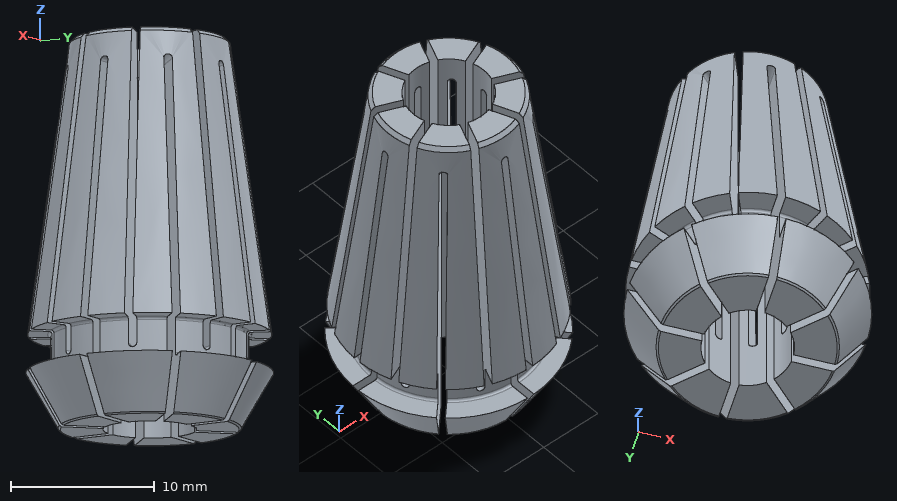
import cadquery as cq
import math

TOTAL_HEIGHT = 27.5
BORE_DIAMETER = 6.5

FLANGE_HEIGHT = 4.0
FLANGE_RADIUS = 8.625
FLANGE_HALF_ANGLE = 30.0
BOTTOM_CHAMFER = 0.1

NECK_RADIUS = 6.9
NECK_TOP = 6.7
NECK_FILLET = 0.2

CONE_BASE_RADIUS = 8.5
CONE_HALF_ANGLE = 8.0
TOP_CHAMFER = 0.3

SLOT_WIDTH = 0.6
SLOTS_PER_SET = 8
LOWER_SLOT_END = 25.5
UPPER_SLOT_END = 4.6
SLOT_CLEARANCE = 1.0


def make_body():
    """Revolve the outer profile around the bore."""
    bore_radius = BORE_DIAMETER / 2
    flange_bottom_radius = FLANGE_RADIUS - FLANGE_HEIGHT * math.tan(math.radians(FLANGE_HALF_ANGLE))
    chamfer_top_radius = flange_bottom_radius + BOTTOM_CHAMFER * math.tan(math.radians(FLANGE_HALF_ANGLE))
    chamfer_base = TOTAL_HEIGHT - TOP_CHAMFER
    chamfer_radius = CONE_BASE_RADIUS - (chamfer_base - NECK_TOP) * math.tan(math.radians(CONE_HALF_ANGLE))
    fillet_sag = NECK_FILLET * (1 - math.sqrt(0.5))
    return (
        cq.Workplane("XZ")
        .moveTo(bore_radius, 0)
        .lineTo(flange_bottom_radius - BOTTOM_CHAMFER, 0)
        .lineTo(chamfer_top_radius, BOTTOM_CHAMFER)
        .lineTo(FLANGE_RADIUS, FLANGE_HEIGHT)
        .lineTo(NECK_RADIUS + NECK_FILLET, FLANGE_HEIGHT)
        .threePointArc(
            (NECK_RADIUS + fillet_sag, FLANGE_HEIGHT + fillet_sag),
            (NECK_RADIUS, FLANGE_HEIGHT + NECK_FILLET),
        )
        .lineTo(NECK_RADIUS, NECK_TOP - NECK_FILLET)
        .threePointArc(
            (NECK_RADIUS + fillet_sag, NECK_TOP - fillet_sag),
            (NECK_RADIUS + NECK_FILLET, NECK_TOP),
        )
        .lineTo(CONE_BASE_RADIUS, NECK_TOP)
        .lineTo(chamfer_radius, chamfer_base)
        .lineTo(chamfer_radius - TOP_CHAMFER, TOTAL_HEIGHT)
        .lineTo(bore_radius, TOTAL_HEIGHT)
        .close()
        .revolve(360, (0, 0, 0), (0, 1, 0))
    )


def make_slot_cutter(open_end, round_end):
    """Radial blade along +X, square at open_end and round at round_end (both heights)."""
    half_width = SLOT_WIDTH / 2
    direction = math.copysign(1, round_end - open_end)
    straight_end = round_end - direction * half_width
    return (
        cq.Workplane("YZ")
        .moveTo(-half_width, open_end)
        .lineTo(-half_width, straight_end)
        .threePointArc((0, round_end), (half_width, straight_end))
        .lineTo(half_width, open_end)
        .close()
        .extrude(FLANGE_RADIUS + SLOT_CLEARANCE)
    )


def cut_slots(body, cutter, first_angle):
    """Cut one evenly spaced set of slots, starting at first_angle degrees."""
    pitch = 360 / SLOTS_PER_SET
    for index in range(SLOTS_PER_SET):
        angle = first_angle + index * pitch
        body = body.cut(cutter.rotate((0, 0, 0), (0, 0, 1), angle))
    return body


lower_cutter = make_slot_cutter(-SLOT_CLEARANCE, LOWER_SLOT_END)
upper_cutter = make_slot_cutter(TOTAL_HEIGHT + SLOT_CLEARANCE, UPPER_SLOT_END)
half_pitch = 180 / SLOTS_PER_SET

collet = make_body()
collet = cut_slots(collet, lower_cutter, 0)
collet = cut_slots(collet, upper_cutter, half_pitch)
result = collet